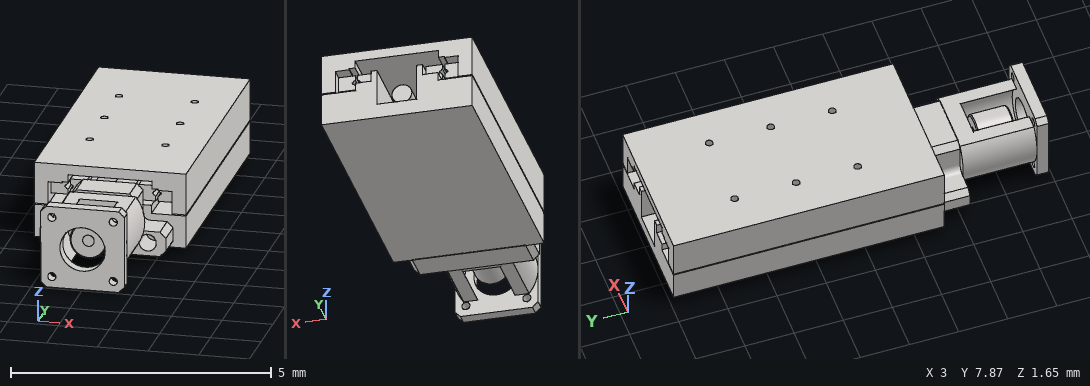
import cadquery as cq
import math

TOTAL_LENGTH = 7.87
STAGE_WIDTH = 3.0
STAGE_LENGTH = 5.51
FLANGE_SIZE = 1.65
STAGE_FRONT = TOTAL_LENGTH - STAGE_LENGTH
STAGE_MIDDLE = STAGE_FRONT + STAGE_LENGTH / 2

TABLE_TOP = FLANGE_SIZE / 2
TABLE_BOTTOM = -0.01
POCKET_HALF_WIDTH = 1.22
POCKET_CEILING = 0.45
RELIEF_HALF_WIDTH = 0.945
RELIEF_CEILING = 0.47
CHANNEL_HALF_WIDTH = 0.83
CHANNEL_CEILING = 0.62
TABLE_HOLE_DIAMETER = 0.14
TABLE_HOLE_PITCH_X = 1.495
TABLE_HOLE_PITCH_Y = 1.25

RAIL_HEIGHT = 0.315
RAIL_BOTTOM = POCKET_CEILING - RAIL_HEIGHT
RAIL_GAP = 0.05
RAIL_FRONT_SETBACK = 0.25
RAIL_LENGTH = STAGE_LENGTH - 2 * RAIL_FRONT_SETBACK
GROOVE_DEPTH = 0.06
INNER_RAIL_FACE = 0.84
OUTER_RAIL_FACE = INNER_RAIL_FACE + RAIL_GAP
RAIL_WIDTH = POCKET_HALF_WIDTH - OUTER_RAIL_FACE
INNER_RAIL_BACK = INNER_RAIL_FACE - RAIL_WIDTH

BASE_TOP = -0.03
BASE_BOTTOM = -0.69
SEAT_HALF_WIDTH = 0.82
RIB_TOP = 0.355
TROUGH_HALF_WIDTH = 0.39
TROUGH_FLOOR = -0.39
BASE_HOLE_MOUTH_DIAMETER = 0.205
BASE_HOLE_DEPTH = 0.47
BASE_HOLE_COUNTERSINK = 0.02
DRILL_POINT_ANGLE = 118.0

FLANGE_THICKNESS = 0.245
FLANGE_CHAMFER = 0.11
FLANGE_BORE_DIAMETER = 0.89
FLANGE_HOLE_DIAMETER = 0.16
FLANGE_HOLE_PITCH = 1.21
TUBE_RADIUS = FLANGE_SIZE / 2
TUBE_HALF_HEIGHT = 0.51
CAVITY_RADIUS = 0.63
BLOCK_FRONT = 1.75
WALL_FRONT = 1.385
WINDOW_WIDTH = 0.74
WALL_HOLE_DIAMETER = 0.16
WALL_HOLE_PITCH_X = 0.79
WALL_HOLE_PITCH_Z = 0.6
WALL_HOLE_DEPTH = 0.315
BEARING_BORE_DIAMETER = 0.58
BLOCK_TOP = 0.56
BLOCK_HALF_WIDTH = 0.65
BLOCK_CHAMFER = 0.125
FOOT_FILLET = 0.14
FOOT_TOP = BASE_TOP - FOOT_FILLET
FOOT_BOTTOM = -0.68
FOOT_HALF_WIDTH = 1.24
FOOT_CHAMFER = 0.12
FOOT_HOLE_X = 0.88
FOOT_HOLE_Z = -0.41
FOOT_HOLE_DIAMETER = 0.34

JOURNAL_DIAMETER = 0.23
THREAD_DIAMETER = 0.39
SCREW_REAR_SETBACK = 0.39
COUPLING_DIAMETER = 0.73
COUPLING_FRONT = 0.5
COUPLING_LENGTH = 0.75
COUPLING_CHAMFER = 0.02


def box(half_width, y0, y1, z0, z1):
    """Block centred on X = 0 between the given Y and Z limits."""
    return cq.Workplane("XY").box(
        2 * half_width, y1 - y0, z1 - z0, centered=(True, False, False)
    ).translate((0, y0, z0))


def y_cylinder(diameter, y0, y1, x=0.0, z=0.0):
    """Cylinder along Y."""
    return cq.Workplane("XZ", origin=(x, y0, z)).circle(diameter / 2).extrude(y0 - y1)


def corner_points(pitch_x, pitch_z):
    """The four (x, z) corners of a rectangle centred on the screw axis."""
    return [(sx * pitch_x / 2, sz * pitch_z / 2) for sx in (-1, 1) for sz in (-1, 1)]


def make_table():
    """Plate over a stepped pocket that runs its full length."""
    y0, y1 = STAGE_FRONT, TOTAL_LENGTH
    table = box(STAGE_WIDTH / 2, y0, y1, TABLE_BOTTOM, TABLE_TOP)
    table = table.cut(box(POCKET_HALF_WIDTH, y0, y1, TABLE_BOTTOM, POCKET_CEILING))
    table = table.cut(box(RELIEF_HALF_WIDTH, y0, y1, TABLE_BOTTOM, RELIEF_CEILING))
    table = table.cut(box(CHANNEL_HALF_WIDTH, y0, y1, TABLE_BOTTOM, CHANNEL_CEILING))
    holes = (
        cq.Workplane("XY", origin=(0, STAGE_MIDDLE, TABLE_BOTTOM))
        .rarray(TABLE_HOLE_PITCH_X, TABLE_HOLE_PITCH_Y, 2, 3)
        .circle(TABLE_HOLE_DIAMETER / 2)
        .extrude(TABLE_TOP - TABLE_BOTTOM)
    )
    return table.cut(holes)


def make_base_hole(x):
    """Countersunk blind hole with a drill point, as a solid of revolution to be cut away."""
    mouth_radius = BASE_HOLE_MOUTH_DIAMETER / 2
    core_radius = mouth_radius - BASE_HOLE_COUNTERSINK
    point_length = core_radius / math.tan(math.radians(DRILL_POINT_ANGLE / 2))
    return (
        cq.Workplane("XY", origin=(x, STAGE_FRONT, FOOT_HOLE_Z))
        .moveTo(0, 0)
        .lineTo(mouth_radius, 0)
        .lineTo(core_radius, BASE_HOLE_COUNTERSINK)
        .lineTo(core_radius, BASE_HOLE_DEPTH)
        .lineTo(0, BASE_HOLE_DEPTH + point_length)
        .close()
        .revolve(360, (0, 0), (0, 1))
    )


def make_base():
    y0, y1 = STAGE_FRONT, TOTAL_LENGTH
    base = box(STAGE_WIDTH / 2, y0, y1, BASE_BOTTOM, BASE_TOP)
    base = base.union(box(SEAT_HALF_WIDTH, y0, y1, BASE_BOTTOM, RAIL_BOTTOM))
    base = base.union(box(INNER_RAIL_BACK, y0, y1, BASE_BOTTOM, RIB_TOP))
    base = base.cut(box(TROUGH_HALF_WIDTH, y0, y1, TROUGH_FLOOR, RIB_TOP))
    for side in (-1, 1):
        base = base.cut(make_base_hole(side * FOOT_HOLE_X))
    return base


def make_rail(back_x, groove_x):
    """Rail with its flat back at back_x and its V-grooved face at groove_x."""
    inward = math.copysign(GROOVE_DEPTH, back_x - groove_x)
    middle = RAIL_BOTTOM + RAIL_HEIGHT / 2
    return (
        cq.Workplane("XZ", origin=(0, STAGE_FRONT + RAIL_FRONT_SETBACK, 0))
        .moveTo(back_x, RAIL_BOTTOM)
        .lineTo(groove_x, RAIL_BOTTOM)
        .lineTo(groove_x, middle - GROOVE_DEPTH)
        .lineTo(groove_x + inward, middle)
        .lineTo(groove_x, middle + GROOVE_DEPTH)
        .lineTo(groove_x, POCKET_CEILING)
        .lineTo(back_x, POCKET_CEILING)
        .close()
        .extrude(-RAIL_LENGTH)
    )


def make_bearing_block():
    """Block with two feet: right half outline, mirrored about X = 0."""
    block = (
        cq.Workplane("XZ", origin=(0, BLOCK_FRONT, 0))
        .moveTo(0, BLOCK_TOP)
        .lineTo(BLOCK_HALF_WIDTH - BLOCK_CHAMFER, BLOCK_TOP)
        .lineTo(BLOCK_HALF_WIDTH, BLOCK_TOP - BLOCK_CHAMFER)
        .lineTo(BLOCK_HALF_WIDTH, BASE_TOP)
        .radiusArc((BLOCK_HALF_WIDTH + FOOT_FILLET, FOOT_TOP), -FOOT_FILLET)
        .lineTo(FOOT_HALF_WIDTH - FOOT_CHAMFER, FOOT_TOP)
        .lineTo(FOOT_HALF_WIDTH, FOOT_TOP - FOOT_CHAMFER)
        .lineTo(FOOT_HALF_WIDTH, FOOT_BOTTOM + FOOT_CHAMFER)
        .lineTo(FOOT_HALF_WIDTH - FOOT_CHAMFER, FOOT_BOTTOM)
        .lineTo(0, FOOT_BOTTOM)
        .mirrorY()
        .extrude(BLOCK_FRONT - STAGE_FRONT)
    )
    for side in (-1, 1):
        x = side * FOOT_HOLE_X
        block = block.cut(y_cylinder(FOOT_HOLE_DIAMETER, BLOCK_FRONT, STAGE_FRONT, x, FOOT_HOLE_Z))
    return block


def flat_sided_cylinder(radius, y0, y1):
    """Cylinder along Y, cut flat at the top and bottom of the tube."""
    slab = box(radius, y0, y1, -TUBE_HALF_HEIGHT, TUBE_HALF_HEIGHT)
    return y_cylinder(2 * radius, y0, y1).intersect(slab)


def make_flange():
    """Square motor flange with its bore and four mounting holes."""
    half_size = FLANGE_SIZE / 2
    flange = box(half_size, 0, FLANGE_THICKNESS, -half_size, half_size)
    flange = flange.edges("|Y").chamfer(FLANGE_CHAMFER)
    flange = flange.cut(y_cylinder(FLANGE_BORE_DIAMETER, 0, FLANGE_THICKNESS))
    for x, z in corner_points(FLANGE_HOLE_PITCH, FLANGE_HOLE_PITCH):
        flange = flange.cut(y_cylinder(FLANGE_HOLE_DIAMETER, 0, FLANGE_THICKNESS, x, z))
    return flange


def make_bracket():
    """Bearing block, tube and motor flange in one piece."""
    bracket = make_bearing_block()
    bracket = bracket.union(flat_sided_cylinder(TUBE_RADIUS, FLANGE_THICKNESS, BLOCK_FRONT))
    bracket = bracket.union(make_flange())
    bracket = bracket.cut(flat_sided_cylinder(CAVITY_RADIUS, FLANGE_THICKNESS, WALL_FRONT))
    bracket = bracket.cut(
        box(WINDOW_WIDTH / 2, FLANGE_THICKNESS, WALL_FRONT, -TUBE_HALF_HEIGHT, TUBE_HALF_HEIGHT)
    )
    bracket = bracket.cut(y_cylinder(BEARING_BORE_DIAMETER, WALL_FRONT, STAGE_FRONT))
    wall_hole_end = WALL_FRONT + WALL_HOLE_DEPTH
    for x, z in corner_points(WALL_HOLE_PITCH_X, WALL_HOLE_PITCH_Z):
        bracket = bracket.cut(y_cylinder(WALL_HOLE_DIAMETER, WALL_FRONT, wall_hole_end, x, z))
    return bracket


def make_screw():
    """Thin journal through the bracket, then the thicker screw inside the stage."""
    journal = y_cylinder(JOURNAL_DIAMETER, COUPLING_FRONT, STAGE_FRONT)
    thread = y_cylinder(THREAD_DIAMETER, STAGE_FRONT, TOTAL_LENGTH - SCREW_REAR_SETBACK)
    return journal.union(thread)


def make_coupling():
    """Chamfered sleeve on the front end of the journal."""
    rear = COUPLING_FRONT + COUPLING_LENGTH
    coupling = y_cylinder(COUPLING_DIAMETER, COUPLING_FRONT, rear).edges().chamfer(COUPLING_CHAMFER)
    return coupling.cut(y_cylinder(JOURNAL_DIAMETER, COUPLING_FRONT, rear))


rails = []
for side in (-1, 1):
    rails.append(make_rail(side * POCKET_HALF_WIDTH, side * OUTER_RAIL_FACE))
    rails.append(make_rail(side * INNER_RAIL_BACK, side * INNER_RAIL_FACE))

table = make_table()
base = make_base()
bracket = make_bracket()
screw = make_screw()
coupling = make_coupling()

result = cq.Compound.makeCompound(
    [table.val(), base.val(), bracket.val(), screw.val(), coupling.val()]
    + [rail.val() for rail in rails]
)